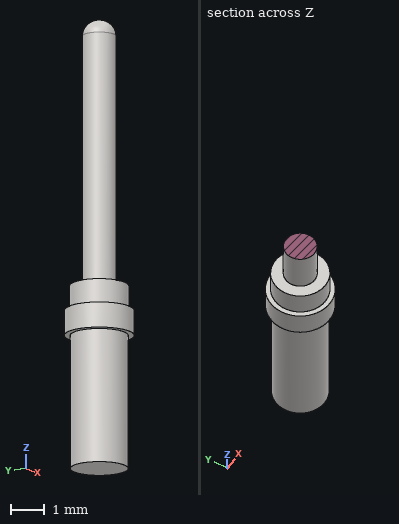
import cadquery as cq

total_length = 13.74
barrel_diameter = 1.73
flange_diameter = 2.09
shoulder_diameter = 1.77
pin_diameter = 1.02

flange_bottom = 4.08
flange_top = 4.85
shoulder_top = 5.6

tip_flat_diameter = 0.05
tip_radius = (pin_diameter - tip_flat_diameter) / 2


def cylinder(diameter, bottom, top):
    """Upright cylinder on the Z axis between two heights."""
    return cq.Workplane("XY").workplane(offset=bottom).circle(diameter / 2).extrude(top - bottom)


pin = cylinder(pin_diameter, shoulder_top, total_length).faces(">Z").edges().fillet(tip_radius)

barrel = cylinder(barrel_diameter, 0, flange_bottom)
flange = cylinder(flange_diameter, flange_bottom, flange_top)
shoulder = cylinder(shoulder_diameter, flange_top, shoulder_top)

result = barrel.union(flange).union(shoulder).union(pin)